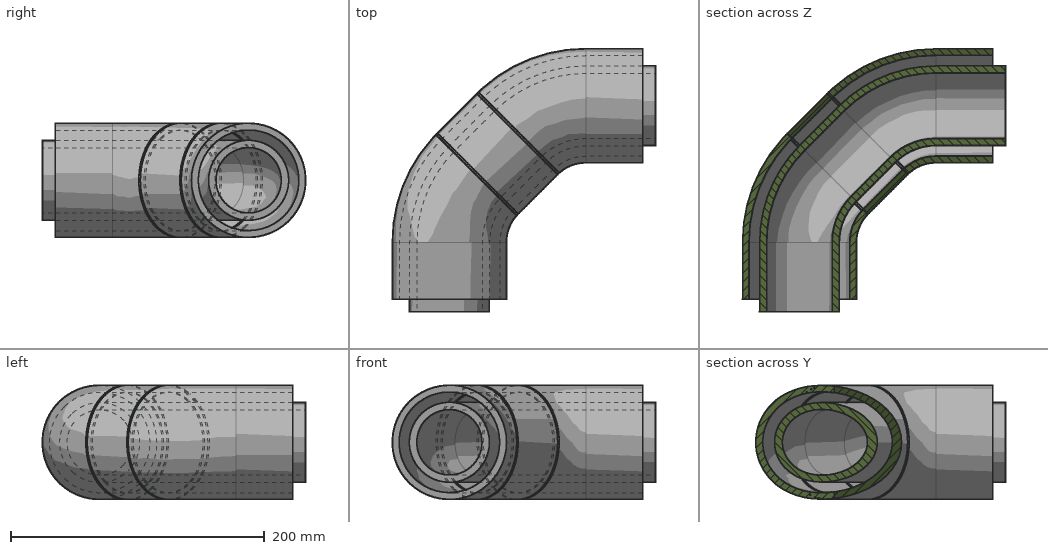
import cadquery as cq
import math


jacket_diameter = 90.0
jacket_bore = 79.2
carrier_diameter = 63.0
carrier_bore = 51.4

overall_size = 207.4
bend_angle = 45.0
bend_radius = 76.4
jacket_end_length = 45.0
carrier_overhang = 10.0
stub_length = 1.75

carrier_end_length = jacket_end_length + carrier_overhang
axis_to_bend = overall_size - jacket_diameter / 2 - carrier_end_length
bend_radians = math.radians(bend_angle)
straight_run = (axis_to_bend - bend_radius) / math.cos(bend_radians)

run_direction = cq.Vector(math.sin(bend_radians), math.cos(bend_radians), 0)
run_across = cq.Vector(math.cos(bend_radians), -math.sin(bend_radians), 0)
bend_centre = cq.Vector(bend_radius, -axis_to_bend, 0)
run_start = bend_centre - run_across * bend_radius

bend_start_plane = cq.Plane((0, -axis_to_bend, 0), (1, 0, 0), (0, 1, 0))


def run_plane(distance):
    """Section plane on the straight run, a distance past the end of the first bend."""
    return cq.Plane(run_start + run_direction * distance, run_across, run_direction)


def section(plane, outer_diameter, bore):
    """Ring-shaped pipe section drawn on a plane across the pipe."""
    return cq.Workplane(plane).circle(outer_diameter / 2).circle(bore / 2)


def run_pipe(outer_diameter, bore, start, length):
    """Straight pipe on the run between the bends."""
    return section(run_plane(start), outer_diameter, bore).extrude(length)


def end_and_bend(outer_diameter, bore, end_length):
    """Pipe from the open end that faces -Y to the end of the first bend."""
    end_piece = section(bend_start_plane, outer_diameter, bore).extrude(-end_length)
    bend = section(bend_start_plane, outer_diameter, bore).revolve(
        bend_angle, (bend_radius, 0), (bend_radius, 1)
    )
    return end_piece.union(bend)


def mirrored(pipe):
    """The same pipe at the other end: X and Y swap places and change sign."""
    return pipe.mirror("XZ").rotate((0, 0, 0), (0, 0, 1), -90)


untrimmed_elbow = end_and_bend(jacket_diameter, jacket_bore, jacket_end_length)
trimmed_slice = cq.Workplane(run_plane(-stub_length)).circle(jacket_diameter).extrude(2 * stub_length)
elbow_stub = run_pipe(jacket_diameter, jacket_bore, -stub_length, stub_length)
first_elbow = untrimmed_elbow.cut(trimmed_slice).union(elbow_stub)
jacket_elbows = [first_elbow, mirrored(first_elbow)]

jacket_sleeve = run_pipe(jacket_diameter, jacket_bore, 0, straight_run)

carrier_end = end_and_bend(carrier_diameter, carrier_bore, carrier_end_length)
carrier_run = run_pipe(carrier_diameter, carrier_bore, 0, straight_run)
carrier_pipe = carrier_end.union(carrier_run).union(mirrored(carrier_end))

result = cq.Compound.makeCompound(
    [elbow.val() for elbow in jacket_elbows] + [jacket_sleeve.val(), carrier_pipe.val()]
)